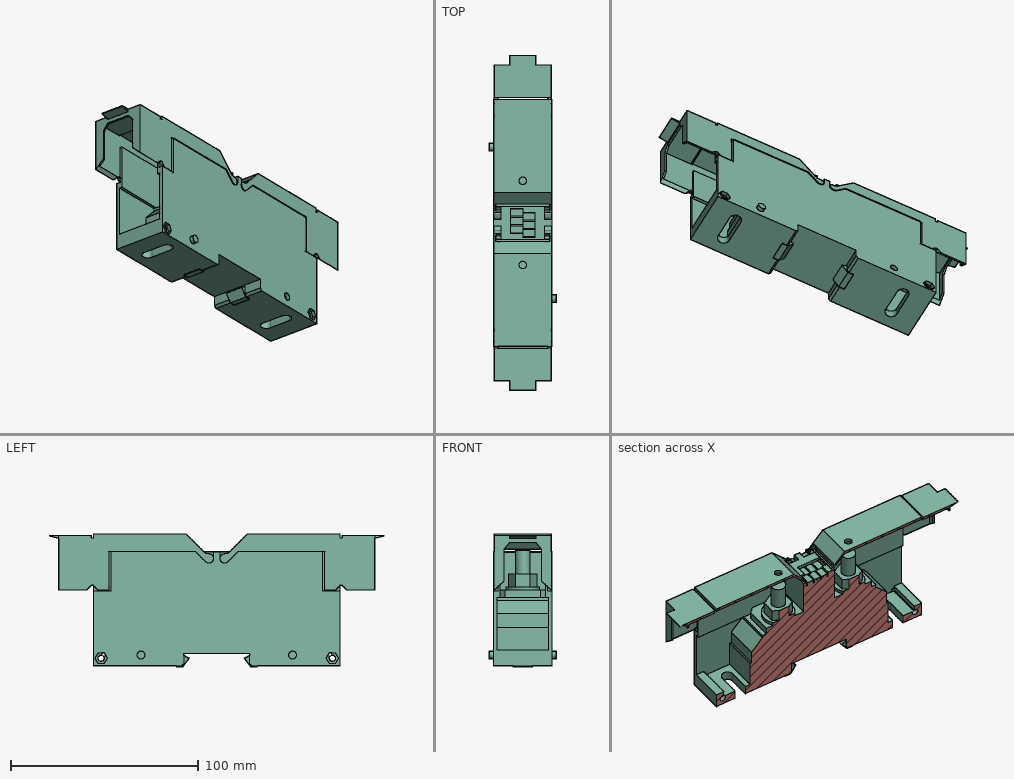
import cadquery as cq
import math


BODY_WIDTH = 31.5
BODY_LENGTH = 132.0
BODY_TOP = 61.1
HALF_WIDTH = BODY_WIDTH / 2
HALF_LENGTH = BODY_LENGTH / 2

ENTRY_HALF_WIDTH = 13.75
ENTRY_TOP = 36.6
SILL_HEIGHT = 8.6
SILL_DEPTH = 4.8
FLOOR_HEIGHT = 5.4
ENTRY_BACK_Y = 44.5
CHAMBER_HALF_WIDTH = 12.2
CHAMBER_BACK_Y = 10.0
LEDGE_HEIGHT = 20.5
LEDGE_DEPTH = 1.0
RAMP_BOTTOM = 28.0
RAMP_TOP = 35.0
FLOOR_SLOT_Y = 50.7
FLOOR_SLOT_WIDTH = 6.6
FLOOR_SLOT_LENGTH = 19.6

STUD_Y = 22.5
PLATE_FRONT_Y = 34.0
PLATE_TOP = 40.5
PLATE_CHAMFER = 2.8
WASHER_DIAMETER = 18.0
WASHER_THICKNESS = 1.8
NUT_ACROSS_FLATS = 13.0
NUT_HEIGHT = 6.9
STUD_DIAMETER = 8.0
STUD_TOP = 61.9

COVER_WIDTH = 30.5
COVER_TOP = 70.53
COVER_SHEET = 1.9
COVER_HALF_WIDTH = COVER_WIDTH / 2
COVER_INNER_HALF_WIDTH = 13.3
VALLEY_HALF_LENGTH = 6.9
VALLEY_TOP_Y = VALLEY_HALF_LENGTH + COVER_TOP - BODY_TOP
SKIRT_BOTTOM = 40.5
SKIRT_INNER_Y = 57.6
SKIRT_GAP_Y = 1.0
SKIRT_GAP_Z = 0.5
ACCESS_HOLE_DIAMETER = 4.0
WINDOW_HALF_WIDTH = 14.45
WINDOW_HALF_LENGTH = 10.0

CAP_END_Y = 84.5
CAP_TOP = 69.8
CAP_END_WALL = 1.0
BREAK_SLOT_WIDTH = 1.0
BREAK_SLOT_DEPTH = 2.1
BREAK_NOTCH = 2.5
CAP_OPENING_HALF_WIDTH = 10.0
CAP_OPENING_TOP = 66.0
CAP_OPENING_SHOULDER = 62.4
CAP_OPENING_CROWN_HALF_WIDTH = 7.0
CAP_FLARE_HEIGHT = 4.8
TAB_END_Y = 89.5
TAB_HALF_WIDTH = 7.0
TAB_ROOT = 1.6
TAB_TIP = 0.4

HINGE_Y = 4.2
HINGE_Z = 57.45
HINGE_RADIUS = 2.5
HINGE_INNER_X = 11.6
HINGE_CLEARANCE_Y = 5.65

BLOCK_HALF_LENGTH = 8.75
BLOCK_STEP = 0.4
NOTCH_OUTER_Y = 8.6
NOTCH_BOTTOM_Y = 7.0
NOTCH_INNER_Y = 5.9
NOTCH_DEPTH = 1.5
NOTCH_OUTER_X = 14.2
CONTACT_COLUMN_WIDTH = 6.6
CONTACT_COLUMN_LENGTH = 13.4
CONTACT_COLUMN_SHIFT = 1.05
CONTACTS_PER_COLUMN = 3
CONTACT_GAP = 0.7
CONTACT_DEPTH = 3.0
CONTACT_HEIGHTS = {-1: 2.0, 1: 1.2}

RAIL_HALF_LENGTH = 17.55
RAIL_DEPTH = 6.6
RAIL_EDGE_CHAMFER = 1.3
CLIP_WIDTH = 10.6
CLIP_DROP = 0.5
CLIP_TOP = 5.6
CLIP_TIP_HEIGHT = 4.1
CLIP_TIP_REACH = 2.9
CLIP_FOOT_SETBACK = 0.6
CLIP_FOOT_LENGTH = 3.4

BOLT_Y = 61.8
BOLT_Z = 4.1
BOLT_HOLE_DIAMETER = 3.2
BOLT_HEX_ACROSS_FLATS = 5.7
BOLT_HEX_DEPTH = 2.0
PIN_Y = 40.5
PIN_Z = 5.8
PIN_DIAMETER = 4.2
PIN_REACH = 17.95


def block(x0, x1, y0, y1, z0, z1):
    """Box between two opposite corners."""
    return cq.Workplane("XY").box(x1 - x0, y1 - y0, z1 - z0, centered=False).translate((x0, y0, z0))


def prism_along_x(points, x0, x1):
    """Closed outline of (y, z) points, extruded from x0 to x1."""
    return cq.Workplane("YZ").workplane(offset=x0).polyline(points).close().extrude(x1 - x0)


def upright_cylinder(diameter, y, z0, z1):
    return cq.Workplane("XY", origin=(0, y, z0)).circle(diameter / 2).extrude(z1 - z0)


def with_mirror(shape, plane):
    return shape.union(shape.mirror(plane))


def hexagon_diameter(across_flats):
    return across_flats / math.cos(math.pi / 6)


def entry_cavity():
    """Wire entry and terminal chamber at the +Y end."""
    ledge_y = ENTRY_BACK_Y - LEDGE_DEPTH
    ramp_back_y = ledge_y - (RAMP_TOP - RAMP_BOTTOM)
    sill_y = HALF_LENGTH - SILL_DEPTH
    entry = prism_along_x(
        [
            (HALF_LENGTH, SILL_HEIGHT),
            (sill_y, SILL_HEIGHT),
            (sill_y, FLOOR_HEIGHT),
            (ENTRY_BACK_Y, FLOOR_HEIGHT),
            (ENTRY_BACK_Y, LEDGE_HEIGHT),
            (ledge_y, LEDGE_HEIGHT),
            (ledge_y, RAMP_BOTTOM),
            (ramp_back_y, RAMP_TOP),
            (ramp_back_y, ENTRY_TOP),
            (HALF_LENGTH, ENTRY_TOP),
        ],
        -ENTRY_HALF_WIDTH,
        ENTRY_HALF_WIDTH,
    )
    chamber = block(
        -CHAMBER_HALF_WIDTH, CHAMBER_HALF_WIDTH, CHAMBER_BACK_Y, HALF_LENGTH, ENTRY_TOP, BODY_TOP
    )
    floor_slot = (
        cq.Workplane("XY", origin=(0, FLOOR_SLOT_Y, 0))
        .slot2D(FLOOR_SLOT_LENGTH, FLOOR_SLOT_WIDTH)
        .extrude(FLOOR_HEIGHT)
    )
    return entry.union(chamber).union(floor_slot)


def cover_recess():
    """Space on the +X, +Y side that takes the cover skirt and its hinge arm."""
    skirt = block(
        COVER_INNER_HALF_WIDTH,
        HALF_WIDTH,
        SKIRT_INNER_Y - SKIRT_GAP_Y,
        HALF_LENGTH,
        SKIRT_BOTTOM - SKIRT_GAP_Z,
        BODY_TOP,
    )
    arm = cover_side(COVER_INNER_HALF_WIDTH, HALF_WIDTH)
    clearance = block(
        HINGE_INNER_X, HALF_WIDTH, HINGE_Y - HINGE_RADIUS, HINGE_CLEARANCE_Y, HINGE_Z, BODY_TOP
    )
    return skirt.union(arm).union(hinge_end(HALF_WIDTH)).union(clearance)


def stud_terminal():
    """Chamfered plate with washer, nut and stud in the +Y chamber."""
    plate = (
        block(-CHAMBER_HALF_WIDTH, CHAMBER_HALF_WIDTH, CHAMBER_BACK_Y, PLATE_FRONT_Y, ENTRY_TOP, PLATE_TOP)
        .edges("|Z and >Y")
        .chamfer(PLATE_CHAMFER)
    )
    nut_bottom = PLATE_TOP + WASHER_THICKNESS
    washer = upright_cylinder(WASHER_DIAMETER, STUD_Y, PLATE_TOP, nut_bottom)
    nut = (
        cq.Workplane("XY", origin=(0, STUD_Y, nut_bottom))
        .polygon(6, hexagon_diameter(NUT_ACROSS_FLATS))
        .extrude(NUT_HEIGHT)
    )
    stud = upright_cylinder(STUD_DIAMETER, STUD_Y, PLATE_TOP, STUD_TOP)
    return plate.union(washer).union(nut).union(stud)


def rail_slot():
    """Slot across the base with chamfered lower edges."""
    mouth_y = RAIL_HALF_LENGTH + RAIL_EDGE_CHAMFER
    outline = [
        (-mouth_y, 0),
        (-RAIL_HALF_LENGTH, RAIL_EDGE_CHAMFER),
        (-RAIL_HALF_LENGTH, RAIL_DEPTH),
        (RAIL_HALF_LENGTH, RAIL_DEPTH),
        (RAIL_HALF_LENGTH, RAIL_EDGE_CHAMFER),
        (mouth_y, 0),
    ]
    return prism_along_x(outline, -HALF_WIDTH, HALF_WIDTH)


def rail_clip():
    """Pointed clip that reaches into the rail slot from the +Y side."""
    foot_y = RAIL_HALF_LENGTH + CLIP_FOOT_SETBACK
    heel_y = foot_y + CLIP_FOOT_LENGTH
    outline = [
        (RAIL_HALF_LENGTH, CLIP_TOP),
        (RAIL_HALF_LENGTH - CLIP_TIP_REACH, CLIP_TIP_HEIGHT),
        (foot_y, -CLIP_DROP),
        (heel_y, -CLIP_DROP),
        (heel_y, CLIP_TOP),
    ]
    return prism_along_x(outline, -CLIP_WIDTH / 2, CLIP_WIDTH / 2)


def contact_column(side):
    """Recess with a row of raised contacts; side is -1 for -X and +1 for +X."""
    centre_x = side * CONTACT_COLUMN_WIDTH / 2
    centre_y = -side * CONTACT_COLUMN_SHIFT
    floor = BODY_TOP - CONTACT_DEPTH
    recess = (
        cq.Workplane("XY", origin=(centre_x, centre_y, floor))
        .rect(CONTACT_COLUMN_WIDTH, CONTACT_COLUMN_LENGTH)
        .extrude(CONTACT_DEPTH)
    )
    pitch = CONTACT_COLUMN_LENGTH / CONTACTS_PER_COLUMN
    contacts = (
        cq.Workplane("XY", origin=(centre_x, centre_y, floor))
        .rarray(1, pitch, 1, CONTACTS_PER_COLUMN)
        .rect(CONTACT_COLUMN_WIDTH, pitch - CONTACT_GAP)
        .extrude(CONTACT_HEIGHTS[side])
    )
    return recess.cut(contacts)


def centre_block_cuts():
    """Step at the +Y edge of the centre block and the V notch at each of its +Y corners."""
    step = block(
        -NOTCH_OUTER_X,
        NOTCH_OUTER_X,
        BLOCK_HALF_LENGTH,
        CHAMBER_BACK_Y,
        BODY_TOP - BLOCK_STEP,
        BODY_TOP,
    )
    notch = prism_along_x(
        [(NOTCH_INNER_Y, BODY_TOP), (NOTCH_BOTTOM_Y, BODY_TOP - NOTCH_DEPTH), (NOTCH_OUTER_Y, BODY_TOP)],
        HINGE_INNER_X,
        NOTCH_OUTER_X,
    )
    return step.union(with_mirror(notch, "YZ"))


def bolt_hole():
    """Through hole at the +Y end with a hexagonal pocket on each side."""
    hole = (
        cq.Workplane("YZ", origin=(0, BOLT_Y, BOLT_Z))
        .circle(BOLT_HOLE_DIAMETER / 2)
        .extrude(HALF_WIDTH, both=True)
    )
    pocket = (
        cq.Workplane("YZ", origin=(HALF_WIDTH - BOLT_HEX_DEPTH, BOLT_Y, BOLT_Z))
        .polygon(6, hexagon_diameter(BOLT_HEX_ACROSS_FLATS))
        .extrude(BOLT_HEX_DEPTH)
    )
    return hole.union(with_mirror(pocket, "YZ"))


def side_pin(side, y, x_end):
    """Cylinder on one side face, between that face and x_end; side is -1 or +1."""
    return (
        cq.Workplane("YZ", origin=(side * HALF_WIDTH, y, PIN_Z))
        .circle(PIN_DIAMETER / 2)
        .extrude(side * (x_end - HALF_WIDTH))
    )


def housing():
    body = block(-HALF_WIDTH, HALF_WIDTH, -HALF_LENGTH, HALF_LENGTH, 0, BODY_TOP)
    body = body.cut(rail_slot())
    end_cuts = entry_cavity().union(with_mirror(cover_recess(), "YZ"))
    end_cuts = end_cuts.union(bolt_hole())
    body = body.cut(with_mirror(end_cuts, "XZ"))
    body = body.union(with_mirror(stud_terminal().union(rail_clip()), "XZ"))
    pin_height = PIN_REACH - HALF_WIDTH
    for side in (-1, 1):
        body = body.cut(contact_column(side))
        body = body.union(side_pin(side, -side * PIN_Y, PIN_REACH))
        body = body.cut(side_pin(side, side * PIN_Y, HALF_WIDTH - pin_height))
    return body


def cover_side(x0, x1):
    """Side wall of the +Y cover, from the end cap to the round hinge end of its arm."""
    slot_outer_y = HALF_LENGTH + BREAK_SLOT_WIDTH
    slot_bottom = COVER_TOP - BREAK_SLOT_DEPTH
    notch_top = SKIRT_BOTTOM + BREAK_NOTCH
    arm_top = HINGE_Z + HINGE_RADIUS
    tangent = HINGE_RADIUS * math.sin(math.pi / 4)
    arm_low_y = HINGE_Y + tangent
    arm_low_z = HINGE_Z - tangent
    mid_angle = math.pi / 8
    return (
        cq.Workplane("YZ")
        .workplane(offset=x0)
        .moveTo(HINGE_Y, arm_top)
        .threePointArc((HINGE_Y - HINGE_RADIUS, HINGE_Z), (HINGE_Y, HINGE_Z - HINGE_RADIUS))
        .threePointArc(
            (
                HINGE_Y + HINGE_RADIUS * math.sin(mid_angle),
                HINGE_Z - HINGE_RADIUS * math.cos(mid_angle),
            ),
            (arm_low_y, arm_low_z),
        )
        .lineTo(arm_low_y + BODY_TOP - arm_low_z, BODY_TOP)
        .lineTo(SKIRT_INNER_Y, BODY_TOP)
        .lineTo(SKIRT_INNER_Y, SKIRT_BOTTOM)
        .lineTo(HALF_LENGTH - BREAK_NOTCH, SKIRT_BOTTOM)
        .lineTo(HALF_LENGTH, notch_top)
        .lineTo(slot_outer_y, notch_top)
        .lineTo(slot_outer_y + BREAK_NOTCH, SKIRT_BOTTOM)
        .lineTo(CAP_END_Y, SKIRT_BOTTOM)
        .lineTo(CAP_END_Y, CAP_TOP)
        .lineTo(slot_outer_y, CAP_TOP)
        .lineTo(slot_outer_y, slot_bottom)
        .lineTo(HALF_LENGTH, slot_bottom)
        .lineTo(HALF_LENGTH, COVER_TOP)
        .lineTo(VALLEY_TOP_Y, COVER_TOP)
        .lineTo(VALLEY_HALF_LENGTH - (BODY_TOP - arm_top), arm_top)
        .close()
        .extrude(x1 - x0)
    )


def hinge_end(outer_x):
    """Thicker round end of the +X, +Y cover arm, out to outer_x."""
    arm_end_zone = block(0, HALF_WIDTH, 0, VALLEY_HALF_LENGTH, 0, BODY_TOP)
    return cover_side(HINGE_INNER_X, outer_x).intersect(arm_end_zone)


def cover_roof():
    """Flat roof of the +Y cover with the slope that leads down to the centre block."""
    sheet_bottom = COVER_TOP - COVER_SHEET
    outline = [
        (HALF_LENGTH, COVER_TOP),
        (VALLEY_TOP_Y, COVER_TOP),
        (VALLEY_HALF_LENGTH, BODY_TOP),
        (VALLEY_HALF_LENGTH + COVER_SHEET, BODY_TOP),
        (VALLEY_TOP_Y, sheet_bottom),
        (HALF_LENGTH, sheet_bottom),
    ]
    roof = prism_along_x(outline, -COVER_HALF_WIDTH, COVER_HALF_WIDTH)
    return roof.cut(upright_cylinder(ACCESS_HOLE_DIAMETER, STUD_Y, sheet_bottom, COVER_TOP))


def end_cap():
    """Roof, end wall and pull tab of the +Y end cap."""
    roof = block(
        -COVER_HALF_WIDTH,
        COVER_HALF_WIDTH,
        HALF_LENGTH + BREAK_SLOT_WIDTH,
        CAP_END_Y,
        CAP_TOP - COVER_SHEET,
        CAP_TOP,
    )
    wall = block(
        -COVER_HALF_WIDTH, COVER_HALF_WIDTH, CAP_END_Y - CAP_END_WALL, CAP_END_Y, SKIRT_BOTTOM, CAP_TOP
    )
    tab = prism_along_x(
        [
            (CAP_END_Y, CAP_TOP),
            (TAB_END_Y, CAP_TOP),
            (TAB_END_Y, CAP_TOP - TAB_TIP),
            (CAP_END_Y, CAP_TOP - TAB_ROOT),
        ],
        -TAB_HALF_WIDTH,
        TAB_HALF_WIDTH,
    )
    return roof.union(wall).union(tab)


def cap_opening():
    """Arched +Y entry; its flare sharpens the bottom edges of the end cap and the skirt."""
    right_edge = [
        (COVER_HALF_WIDTH, SKIRT_BOTTOM),
        (CAP_OPENING_HALF_WIDTH, SKIRT_BOTTOM + CAP_FLARE_HEIGHT),
        (CAP_OPENING_HALF_WIDTH, CAP_OPENING_SHOULDER),
        (CAP_OPENING_CROWN_HALF_WIDTH, CAP_OPENING_TOP),
    ]
    left_edge = [(-x, z) for x, z in reversed(right_edge)]
    return (
        cq.Workplane("XZ", origin=(0, CAP_END_Y, 0))
        .polyline(right_edge + left_edge)
        .close()
        .extrude(CAP_END_Y - SKIRT_INNER_Y)
    )


def cover():
    """Complete +Y cover with its two side walls and hinge ends."""
    side = cover_side(COVER_INNER_HALF_WIDTH, COVER_HALF_WIDTH)
    hinge = hinge_end(COVER_HALF_WIDTH)
    shell = cover_roof().union(end_cap()).union(with_mirror(side, "YZ"))
    window = block(
        -WINDOW_HALF_WIDTH, WINDOW_HALF_WIDTH, -WINDOW_HALF_LENGTH, WINDOW_HALF_LENGTH, BODY_TOP, COVER_TOP
    )
    return shell.cut(window).cut(cap_opening()).union(with_mirror(hinge, "YZ"))


result = housing().union(with_mirror(cover(), "XZ"))
result = result.cut(with_mirror(centre_block_cuts(), "XZ"))